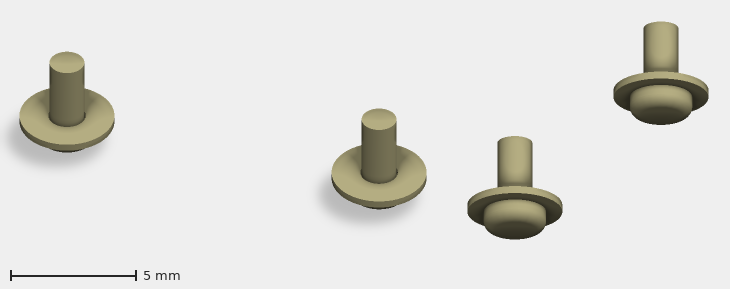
import cadquery as cq

washer_diameter = 3.8
washer_thickness = 0.3
washer_hole_diameter = 1.5

overall_height = 3.8
shank_diameter = 1.4
head_diameter = 2.5
head_height = 0.8
head_edge_radius = 0.4

overall_length = 16.8
spacing = overall_length - washer_diameter
set_positions = [-spacing / 2, spacing / 2]


def make_screw(x):
    """Screw with its head resting on Z = 0 and its lower rim rounded."""
    head = (
        cq.Workplane("XY")
        .circle(head_diameter / 2)
        .extrude(head_height)
        .faces("<Z")
        .edges()
        .fillet(head_edge_radius)
    )
    shank = (
        cq.Workplane("XY")
        .workplane(offset=head_height)
        .circle(shank_diameter / 2)
        .extrude(overall_height - head_height)
    )
    return head.union(shank).translate((x, 0, 0))


def make_washer(x):
    """Flat washer seated on the head, with clearance around the shank."""
    return (
        cq.Workplane("XY")
        .workplane(offset=head_height)
        .circle(washer_diameter / 2)
        .circle(washer_hole_diameter / 2)
        .extrude(washer_thickness)
        .translate((x, 0, 0))
    )


bodies = []
for position in set_positions:
    bodies.append(make_screw(position).val())
    bodies.append(make_washer(position).val())

result = cq.Compound.makeCompound(bodies)